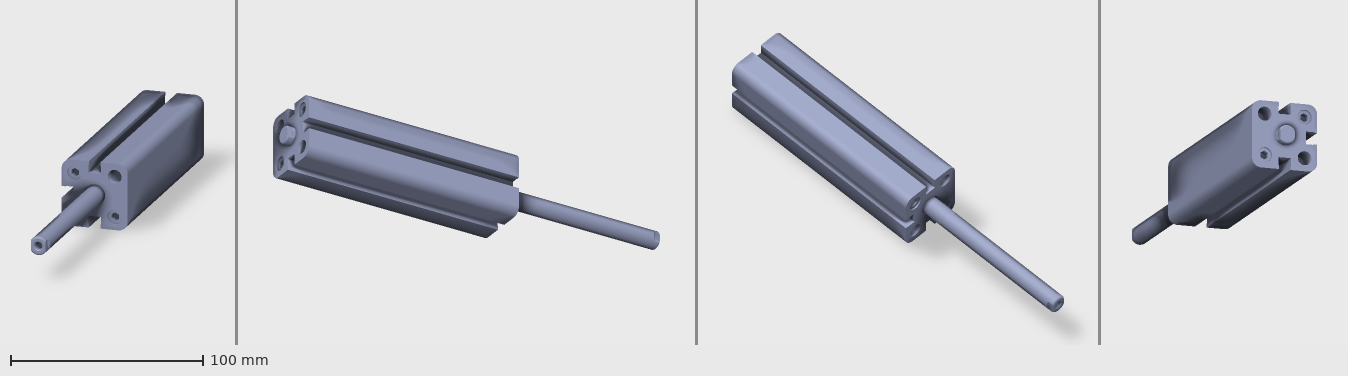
import cadquery as cq
import math

total_length = 227.0
body_width = 36.0
corner_radius = 5.0
body_length = 128.0
cap_length = 12.0
rear_stub_length = 4.5

rear_tip = total_length / 2
front_tip = -total_length / 2
body_rear = rear_tip - rear_stub_length
body_front = body_rear - body_length

slot_width = 6.8
slot_depth = 6.4
slot_mouth_width = 6.4
slot_lip_thickness = 2.0

corner_spacing = 22.0
counterbore_diameter = 7.5
counterbore_depth = 12.0
through_diameter = 4.0
screw_head_diameter = 8.0
screw_head_recess = 1.0
socket_width = 4.0
socket_depth = 4.0

rod_diameter = 10.0
rod_recess_diameter = 11.5
rod_recess_depth = 2.0
flat_width = 8.0
flat_length = 3.0
flat_end_radius = 1.4
tip_fillet = (rod_diameter - flat_width) / 2
tip_hole_diameter = 4.0
tip_hole_mouth_diameter = 5.2
tip_hole_depth = 12.0
drill_point_angle = 118


def cylinder(diameter, y_start, y_end, x=0.0, z=0.0):
    """Cylinder along Y between two stations."""
    axis_start = cq.Vector(x, y_start, z)
    return cq.Workplane(cq.Solid.makeCylinder(diameter / 2, y_end - y_start, axis_start, cq.Vector(0, 1, 0)))


def slot(y_start, y_end):
    """Cutter for the slot in the upper side: a narrow mouth that widens behind two lips."""
    top = body_width / 2
    lip_bottom = top - slot_lip_thickness
    floor = top - slot_depth
    length = y_end - y_start
    y_middle = (y_start + y_end) / 2
    mouth = cq.Workplane().box(slot_mouth_width, length, slot_depth)
    mouth = mouth.translate((0, y_middle, top - slot_depth / 2))
    channel = cq.Workplane().box(slot_width, length, lip_bottom - floor)
    return mouth.union(channel.translate((0, y_middle, (lip_bottom + floor) / 2)))


def profile_section(y_start, y_end):
    """Rounded square bar with a slot in its upper, left and lower sides."""
    bar = cq.Workplane().box(body_width, y_end - y_start, body_width).edges("|Y").fillet(corner_radius)
    bar = bar.translate((0, (y_start + y_end) / 2, 0))
    upper_slot = slot(y_start, y_end)
    for turn in (0, -90, 180):
        bar = bar.cut(upper_slot.rotate((0, 0, 0), (0, 1, 0), turn))
    return bar


def body():
    """Middle profile between two end caps, with the seams kept as edges."""
    front_seam = body_front + cap_length
    rear_seam = body_rear - cap_length
    block = profile_section(body_front, front_seam)
    block = block.union(profile_section(front_seam, rear_seam), clean=False)
    return block.union(profile_section(rear_seam, body_rear), clean=False)


def through_hole(x, z):
    """Through hole counterbored at both ends."""
    hole = cylinder(through_diameter, body_front, body_rear, x, z)
    hole = hole.union(cylinder(counterbore_diameter, body_front, body_front + counterbore_depth, x, z))
    return hole.union(cylinder(counterbore_diameter, body_rear - counterbore_depth, body_rear, x, z))


def hexagon_socket(y_start, y_end, x, z):
    """Hexagonal prism along Y with two corners on its vertical centre line."""
    across_corners = socket_width / math.cos(math.pi / 6)
    start_plane = cq.Plane(origin=(x, y_start, z), xDir=(0, 0, 1), normal=(0, 1, 0))
    return cq.Workplane(start_plane).polygon(6, across_corners).extrude(y_end - y_start)


def screw_recess(x, z):
    """Shallow round recess over a screw head with a hexagon socket, at both ends."""
    socket_bottom = screw_head_recess + socket_depth
    recess = cylinder(screw_head_diameter, body_front, body_front + screw_head_recess, x, z)
    recess = recess.union(hexagon_socket(body_front, body_front + socket_bottom, x, z))
    recess = recess.union(cylinder(screw_head_diameter, body_rear - screw_head_recess, body_rear, x, z))
    return recess.union(hexagon_socket(body_rear - socket_bottom, body_rear, x, z))


def cone(start_diameter, end_diameter, y_start, length):
    """Cone on the rod axis, running toward +Y."""
    axis_start = cq.Vector(0, y_start, 0)
    solid = cq.Solid.makeCone(start_diameter / 2, end_diameter / 2, length, axis_start, cq.Vector(0, 1, 0))
    return cq.Workplane(solid)


def wrench_flat():
    """Cutter for the flat on the +X side of the rear tip, ending in a concave round."""
    flat_x = flat_width / 2
    flat_end = rear_tip - flat_length
    round_x = flat_x + flat_end_radius
    round_end = flat_end - flat_end_radius
    arc_drop = flat_end_radius * math.sqrt(0.5)
    cutter = (
        cq.Workplane("XY")
        .moveTo(flat_x, rear_tip)
        .lineTo(flat_x, flat_end)
        .threePointArc((round_x - arc_drop, flat_end - arc_drop), (round_x, round_end))
        .lineTo(round_x, rear_tip)
        .close()
    )
    return cutter.extrude(rod_diameter, both=True)


def rod():
    """Through rod with wrench flats at both tips and a countersunk blind hole in its front tip."""
    bar = cylinder(rod_diameter, front_tip, rear_tip).faces("<Y or >Y").edges().fillet(tip_fillet)
    rear_flat = wrench_flat()
    rear_flats = rear_flat.union(rear_flat.mirror("YZ"))
    bar = bar.cut(rear_flats).cut(rear_flats.mirror("XZ"))

    hole_bottom = front_tip + tip_hole_depth
    drill_point_length = tip_hole_diameter / 2 / math.tan(math.radians(drill_point_angle / 2))
    mouth_length = (tip_hole_mouth_diameter - tip_hole_diameter) / 2
    bar = bar.cut(cylinder(tip_hole_diameter, front_tip, hole_bottom))
    bar = bar.cut(cone(tip_hole_diameter, 0, hole_bottom, drill_point_length))
    return bar.cut(cone(tip_hole_mouth_diameter, tip_hole_diameter, front_tip, mouth_length))


housing = body()
corner = corner_spacing / 2
for sign in (-1, 1):
    housing = housing.cut(through_hole(sign * corner, sign * corner), clean=False)
    housing = housing.cut(screw_recess(sign * corner, -sign * corner), clean=False)
housing = housing.cut(cylinder(rod_recess_diameter, body_front, body_front + rod_recess_depth), clean=False)

result = housing.union(rod(), clean=False)